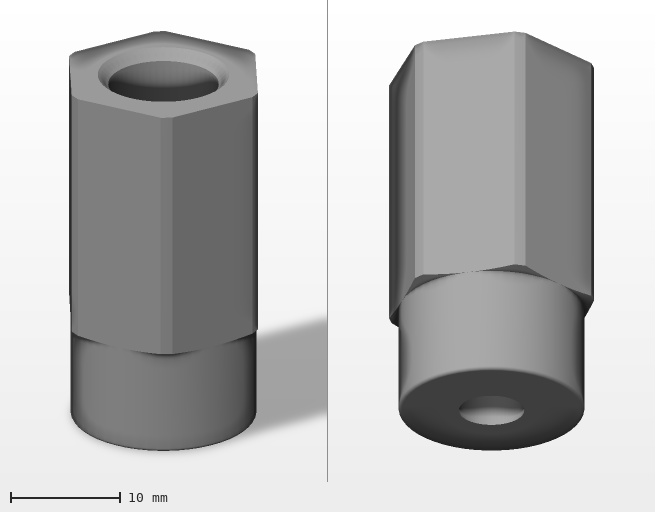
import cadquery as cq
import math

total_height = 34.0
body_diameter = 17.0
hex_flats = body_diameter
hex_corner_diameter = 19.05
collar_height = 10.0
bottom_fillet = 0.3

underside_angle = 15.0

through_diameter = 6.0
bore_diameter = 10.1
bore_depth = 17.0
countersink_diameter = 12.0
countersink_depth = (countersink_diameter - bore_diameter) / 2


def make_collar():
    """Round lower end with a small fillet on its bottom rim."""
    collar = cq.Workplane("XY").circle(body_diameter / 2).extrude(total_height)
    return collar.faces("<Z").edges().fillet(bottom_fillet)


def make_hexagon():
    """Hexagon with flats facing X, its corners turned round and its underside coned."""
    hex_height = total_height - collar_height
    prism = (
        cq.Workplane("XY")
        .workplane(offset=collar_height)
        .transformed(rotate=(0, 0, 90))
        .polygon(6, hex_flats / math.cos(math.radians(30)))
        .extrude(hex_height)
    )
    inner_radius = body_diameter / 2
    outer_radius = hex_corner_diameter / 2
    cone_rise = (outer_radius - inner_radius) * math.tan(math.radians(underside_angle))
    turned_blank = (
        cq.Workplane("XZ")
        .moveTo(0, collar_height)
        .lineTo(inner_radius, collar_height)
        .lineTo(outer_radius, collar_height + cone_rise)
        .lineTo(outer_radius, total_height)
        .lineTo(0, total_height)
        .close()
        .revolve(360, (0, 0, 0), (0, 1, 0))
    )
    return prism.intersect(turned_blank)


def make_bore():
    """Through hole, wider upper bore and countersunk mouth as one revolved cutter."""
    bore_floor = total_height - bore_depth
    return (
        cq.Workplane("XZ")
        .lineTo(through_diameter / 2, 0)
        .lineTo(through_diameter / 2, bore_floor)
        .lineTo(bore_diameter / 2, bore_floor)
        .lineTo(bore_diameter / 2, total_height - countersink_depth)
        .lineTo(countersink_diameter / 2, total_height)
        .lineTo(0, total_height)
        .close()
        .revolve(360, (0, 0, 0), (0, 1, 0))
    )


result = make_collar().union(make_hexagon()).cut(make_bore())